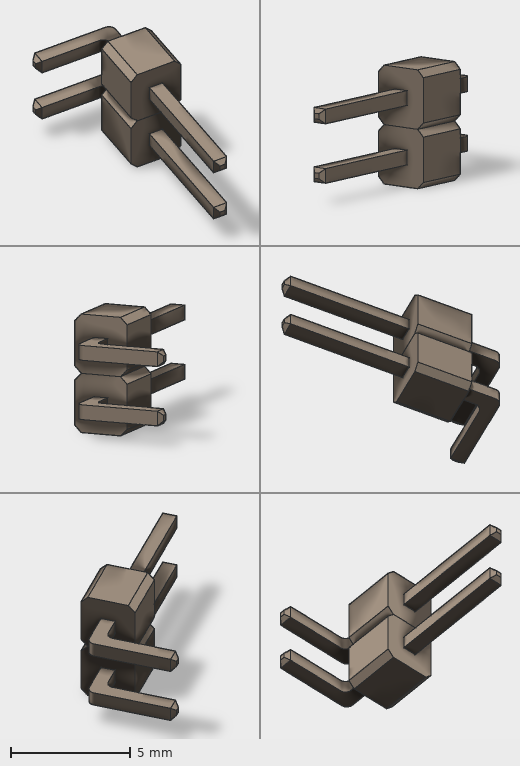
import cadquery as cq

POSITIONS = 2
TOTAL_HEIGHT = 5.08
PITCH = TOTAL_HEIGHT / POSITIONS

HOUSING_LENGTH = 2.5
HOUSING_DEPTH = 2.4
HOUSING_CHAMFER = 0.3
HOUSING_START = 1.82

PIN_WIDTH = 0.63
PIN_LENGTH = 10.02
BENT_LEG_REACH = 3.61
BEND_RADIUS = 0.32
TIP_LENGTH = 0.2
TIP_WIDTH = 0.24


def make_housing(z):
    """Octagonal block centred on the long leg, with a square through hole for the pin."""
    block = (
        cq.Workplane("XY")
        .box(HOUSING_LENGTH, HOUSING_DEPTH, PITCH)
        .edges("|X")
        .chamfer(HOUSING_CHAMFER)
    )
    pin_hole = cq.Workplane("XY").box(HOUSING_LENGTH, PIN_WIDTH, PIN_WIDTH)
    return block.cut(pin_hole).translate((HOUSING_START + HOUSING_LENGTH / 2, 0, z))


def make_tip(plane):
    """Blunt pyramid that ends a pin leg, tapering along the plane's normal."""
    return (
        cq.Workplane(plane)
        .rect(PIN_WIDTH, PIN_WIDTH)
        .workplane(offset=TIP_LENGTH)
        .rect(TIP_WIDTH, TIP_WIDTH)
        .loft(ruled=True)
    )


def make_pin(z):
    """L-shaped square pin with a rounded bend and a blunt tip on each leg."""
    half_width = PIN_WIDTH / 2
    long_end = PIN_LENGTH - TIP_LENGTH
    bent_end = TIP_LENGTH - BENT_LEG_REACH
    legs = (
        cq.Workplane("XY")
        .workplane(offset=-half_width)
        .moveTo(0, bent_end)
        .lineTo(0, half_width)
        .lineTo(long_end, half_width)
        .lineTo(long_end, -half_width)
        .lineTo(PIN_WIDTH, -half_width)
        .lineTo(PIN_WIDTH, bent_end)
        .close()
        .extrude(PIN_WIDTH)
    )
    outer_corner = cq.selectors.NearestToPointSelector((0, half_width, 0))
    inner_corner = cq.selectors.NearestToPointSelector((PIN_WIDTH, -half_width, 0))
    legs = legs.edges(outer_corner).fillet(BEND_RADIUS)
    legs = legs.edges("|Z").edges(inner_corner).fillet(BEND_RADIUS)

    long_tip = make_tip(cq.Plane((long_end, 0, 0), (0, 1, 0), (1, 0, 0)))
    bent_tip = make_tip(cq.Plane((half_width, bent_end, 0), (1, 0, 0), (0, -1, 0)))
    return legs.union(long_tip).union(bent_tip).translate((0, 0, z))


heights = [position * PITCH for position in range(POSITIONS)]
housings = [make_housing(z).val() for z in heights]
pins = [make_pin(z).val() for z in heights]

result = cq.Compound.makeCompound([*housings, *pins])